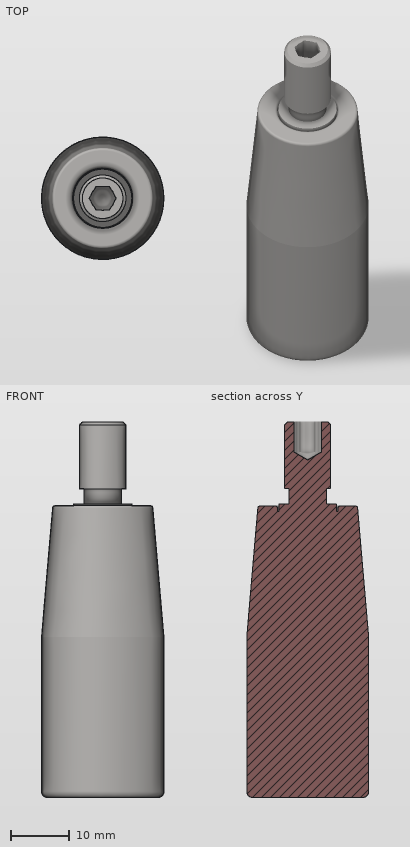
import cadquery as cq
import math

total_height = 64.4
grip_height = 50.05
straight_height = 27.5
collar_top = 50.35
pin_bottom = 52.95

grip_diameter = 21.0
grip_top_diameter = 17.1
bottom_fillet = 1.0
top_fillet = 0.45

pin_diameter = 8.0
pin_chamfer = 0.5
neck_diameter = 6.5
collar_diameter = 10.0
gap_diameter = 10.3
rim_diameter = 11.2
gap_depth = 0.95

socket_flats = 4.0
socket_bore_diameter = 4.1
socket_depth = 5.15
drill_point_angle = 120.0


def cylinder(diameter, bottom, top):
    return cq.Workplane("XY").workplane(offset=bottom).circle(diameter / 2).extrude(top - bottom)


def make_grip():
    """Straight lower part and a tapered upper part, both ends rounded."""
    lower_radius = grip_diameter / 2
    upper_radius = grip_top_diameter / 2
    profile = (
        cq.Workplane("XZ")
        .lineTo(lower_radius, 0)
        .lineTo(lower_radius, straight_height)
        .lineTo(upper_radius, grip_height)
        .lineTo(0, grip_height)
        .close()
    )
    grip = profile.revolve(360, (0, 0, 0), (0, 1, 0))
    grip = grip.faces("<Z").edges().fillet(bottom_fillet)
    return grip.faces(">Z").edges().fillet(top_fillet)


def make_collar_groove():
    """Narrow gap around the collar, with its outer rim rounded."""
    collar_radius = collar_diameter / 2
    rim_radius = rim_diameter / 2
    gap_radius = gap_diameter / 2
    rim_fillet = rim_radius - gap_radius
    return (
        cq.Workplane("XZ")
        .moveTo(collar_radius, grip_height)
        .lineTo(rim_radius, grip_height)
        .radiusArc((gap_radius, grip_height - rim_fillet), -rim_fillet)
        .lineTo(gap_radius, grip_height - gap_depth)
        .lineTo(collar_radius, grip_height - gap_depth)
        .close()
        .revolve(360, (0, 0, 0), (0, 1, 0))
    )


def make_pin():
    pin = cylinder(pin_diameter, pin_bottom, total_height)
    return pin.faces(">Z").edges().chamfer(pin_chamfer)


def make_socket():
    """Hexagon with flats facing +Y and -Y, eased by a bore and closed by a drill point."""
    corner_diameter = socket_flats / math.cos(math.pi / 6)
    corner_radius = corner_diameter / 2
    cone_height = corner_radius / math.tan(math.radians(drill_point_angle / 2))
    floor_edge = total_height - socket_depth
    cone_tip = floor_edge - cone_height
    hexagon = (
        cq.Workplane("XY")
        .workplane(offset=cone_tip)
        .polygon(6, corner_diameter)
        .extrude(total_height - cone_tip)
    )
    bore = cylinder(socket_bore_diameter, cone_tip, total_height)
    drill = (
        cq.Workplane("XZ")
        .moveTo(0, cone_tip)
        .lineTo(corner_radius, floor_edge)
        .lineTo(corner_radius, total_height)
        .lineTo(0, total_height)
        .close()
        .revolve(360, (0, 0, 0), (0, 1, 0))
    )
    return hexagon.union(bore).intersect(drill)


collar = cylinder(collar_diameter, straight_height, collar_top)
neck = cylinder(neck_diameter, straight_height, pin_bottom)

result = (
    make_grip()
    .cut(make_collar_groove())
    .union(collar)
    .union(neck)
    .union(make_pin())
    .cut(make_socket())
)